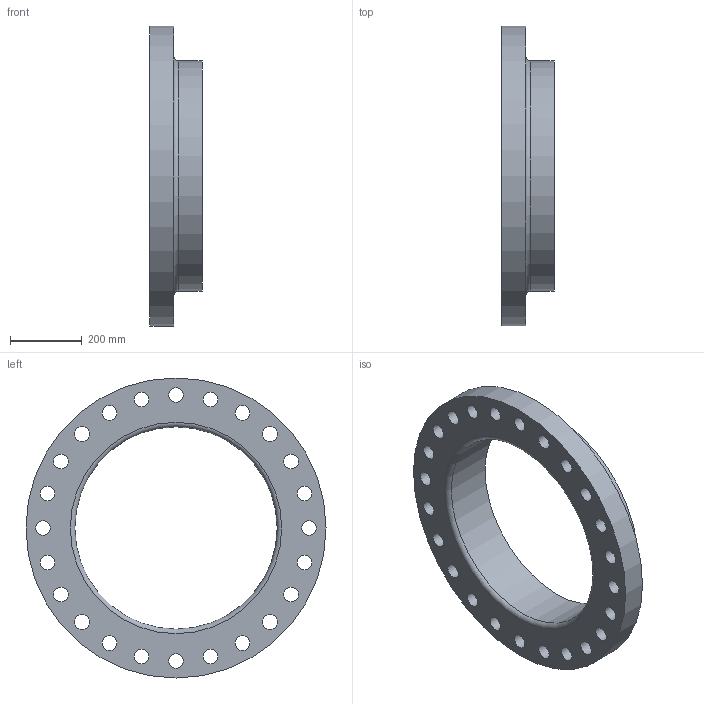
import cadquery as cq

FLANGE_DIAMETER = 838.2
FLANGE_THICKNESS = 66.675
TOTAL_LENGTH = 146.05
HUB_DIAMETER = 642.9
BORE_DIAMETER = 565.15
HUB_FILLET_RADIUS = 12.7
BORE_ROUND_RADIUS = 12.7

BOLT_COUNT = 24
BOLT_CIRCLE_DIAMETER = 742.95
BOLT_HOLE_DIAMETER = 41.275
FIRST_BOLT_ANGLE = 90


def flange_body():
    """Flange plate, filleted hub and round-mouthed bore, revolved about X."""
    flange_radius = FLANGE_DIAMETER / 2
    hub_radius = HUB_DIAMETER / 2
    bore_radius = BORE_DIAMETER / 2
    hub_fillet_end = (FLANGE_THICKNESS + HUB_FILLET_RADIUS, hub_radius)
    bore_round_end = (0, bore_radius + BORE_ROUND_RADIUS)

    section = (
        cq.Workplane("XY")
        .moveTo(*bore_round_end)
        .lineTo(0, flange_radius)
        .lineTo(FLANGE_THICKNESS, flange_radius)
        .lineTo(FLANGE_THICKNESS, hub_radius + HUB_FILLET_RADIUS)
        .radiusArc(hub_fillet_end, -HUB_FILLET_RADIUS)
        .lineTo(TOTAL_LENGTH, hub_radius)
        .lineTo(TOTAL_LENGTH, bore_radius)
        .lineTo(BORE_ROUND_RADIUS, bore_radius)
        .radiusArc(bore_round_end, BORE_ROUND_RADIUS)
        .close()
    )
    return section.revolve(360, (0, 0, 0), (1, 0, 0))


def bolt_holes():
    """Ring of cylinders that pass through the flange plate."""
    return (
        cq.Workplane("YZ")
        .polarArray(BOLT_CIRCLE_DIAMETER / 2, FIRST_BOLT_ANGLE, 360, BOLT_COUNT)
        .circle(BOLT_HOLE_DIAMETER / 2)
        .extrude(FLANGE_THICKNESS)
    )


result = flange_body().cut(bolt_holes())